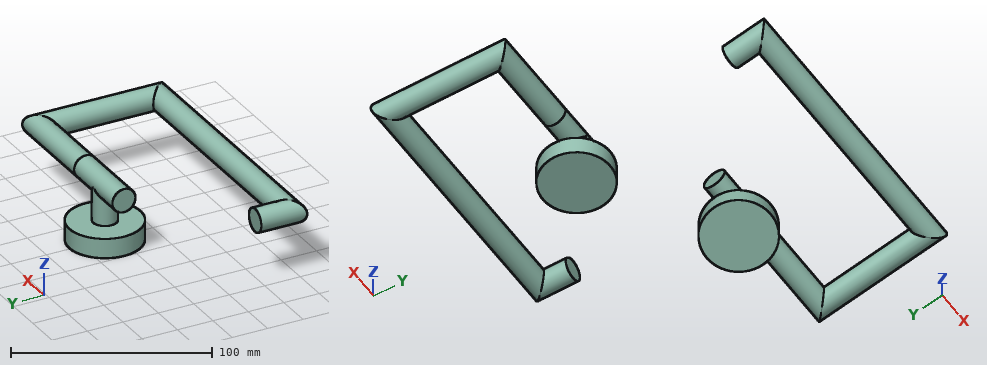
import cadquery as cq

overall_length = 150.0
rod_diameter = 13.0
flange_diameter = 40.0
flange_height = 11.0
total_height = 37.8
flange_center_x = 75.6
arm_spacing = 66.9
hook_length = 26.0

rod_radius = rod_diameter / 2
rod_axis_z = total_height - rod_radius
hook_axis_x = rod_radius - flange_center_x
side_axis_x = overall_length - flange_center_x - rod_radius
front_axis_y = -arm_spacing
hook_end_y = front_axis_y - rod_radius + hook_length
crossbar_length = flange_diameter
crossbar_end_x = crossbar_length / 2


def make_flange():
    """Round mounting flange, standing on Z = 0."""
    return cq.Workplane("XY").circle(flange_diameter / 2).extrude(flange_height)


def make_holder():
    """T-shaped holder: a post on the flange under a horizontal crossbar of the same diameter."""
    post = (
        cq.Workplane("XY", origin=(0, 0, flange_height))
        .circle(rod_radius)
        .extrude(rod_axis_z - flange_height)
    )
    crossbar = (
        cq.Workplane("YZ", origin=(-crossbar_end_x, 0, rod_axis_z))
        .circle(rod_radius)
        .extrude(crossbar_length)
    )
    return post.union(crossbar)


def make_rail():
    """Round rod with mitred corners, from the crossbar's end round to the open hook."""
    path = (
        cq.Workplane("XY", origin=(0, 0, rod_axis_z))
        .moveTo(crossbar_end_x, 0)
        .lineTo(side_axis_x, 0)
        .lineTo(side_axis_x, front_axis_y)
        .lineTo(hook_axis_x, front_axis_y)
        .lineTo(hook_axis_x, hook_end_y)
    )
    return (
        cq.Workplane("YZ", origin=(crossbar_end_x, 0, rod_axis_z))
        .circle(rod_radius)
        .sweep(path, transition="right")
    )


flange = make_flange()
holder = make_holder()
rail = make_rail()

result = cq.Compound.makeCompound([flange.val(), *holder.solids().vals(), rail.val()])